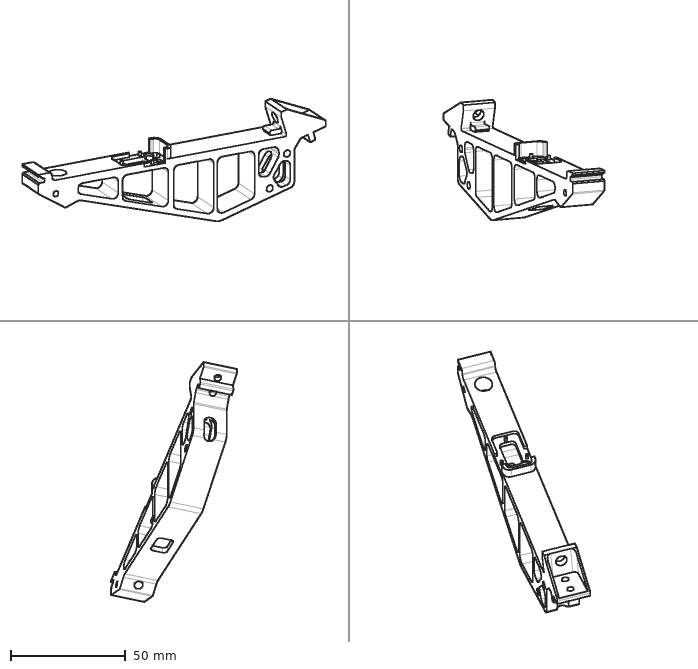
import cadquery as cq
LENGTH = 142.2
WIDTH = 15.0
TOP_Z = 12.5
THROUGH = 3 * WIDTH

BELLY_Y = 89.3
BELLY_Z = -33.91
BELLY_RADIUS = 5.7
FRONT_CHORD_SLOPE = 0.325
REAR_CHORD_SLOPE = 0.27
REAR_FACE_Y = 126.7
TOE_CREASE_Y = 20.2
TOE_TIP_Y = 13.4
END_FACE_BOTTOM_Z = -5.0

DECK_THICKNESS = 3.8
FRONT_CHORD_HEIGHT = 3.0
REAR_CHORD_HEIGHT = 3.3
WINDOW_RADIUS = 2.4
STRUT_WINDOW_RADIUS = 1.8
FRONT_WINDOW_SPANS = [(19.6, 39.5), (41.7, 64.3), (67.0, 86.7)]
REAR_WINDOW_FRONT_Y = 88.6
REAR_WINDOW_REAR_Y = 106.9

NOSE_TILT = 15.0
NOSE_FLOOR_Y = 126.3
NOSE_FLOOR_Z = 0.1
NOSE_HOLE_REACH = 5.4
NOSE_SIDE_WALL = 1.0
NOSE_POCKET_RADIUS = 2.0
NOSE_POCKET_SIZE = 28.5
NOSE_HOLE_DIAMETER = 3.0
NOSE_HOLE_PITCH = 7.7
FIRST_NOSE_HOLE = 3.7
WALL_HOLE_DIAMETER = 5.0
WALL_HOLE_HEIGHT = 7.5

TAB_WIDTH = 6.5
TAB_HEIGHT = 2.3
TAB_TIP_Y = 116.7
TAB_ROOT_Y = 122.5
TAB_ROOT_RADIUS = 0.9

STRUT_ANGLE = 60.0
STRUT_SLOT_Y = 118.7
STRUT_SLOT_Z = -15.5
STRUT_SLOT_LENGTH = 11.4
STRUT_SLOT_WIDTH = 5.4
STRUT_SLOT_START = 5.7

SEAT_FRONT_Y = 42.7
SEAT_REAR_Y = 65.8
SEAT_DEPTH = 1.7
SEAT_RADIUS = 2.0
SEAT_FRONT_WIDTH = 12.2
SEAT_REAR_WIDTH = 11.5
SEAT_WALL = 1.0
SEAT_WALL_RADIUS = 3.1
SEAT_WALL_HEIGHT = 4.8
LIP_RADIUS = 0.5
SIDE_OPENING_FRONT_Y = 52.5
SIDE_OPENING_REAR_Y = 62.7
PIN_DIAMETER = 1.3
PIN_ROOT = 0.1
PIN_CENTERS = [(0, 63.3), (0, 45.2), (5.8, 57.3), (-5.8, 57.3)]
SLOT_WIDTH = 7.3
SLOT_FRONT_Y = 46.5
SLOT_REAR_Y = 59.0
SLOT_RADIUS = 1.7
LOBE_DIAMETER = 4.3
LOBE_X = 4.0
LOBE_Y = 60.7
LOBE_BRIDGE_REAR_Y = 61.8
LOBE_DEPTH = 1.0

SCREW_Y = 13.5
SCREW_TILT = 15.0
SCREW_HEAD_DIAMETER = 7.5
SCREW_HEAD_DEPTH = 6.0
SCREW_HEAD_CLEARANCE = 5.4
SCREW_DIAMETER = 3.7
SCREW_REACH = 21.3

CROSS_HOLES = [(123.0, -8.1, 3.1), (114.5, -22.9, 3.1), (8.7, -6.4, 2.5)]


def front_chord(y):
    return BELLY_Z + FRONT_CHORD_SLOPE * (BELLY_Y - y)


def rear_chord(y):
    return BELLY_Z + REAR_CHORD_SLOPE * (y - BELLY_Y)


def prism(corners, width, default_radius=0):
    """Extrude (y, z[, radius]) corners evenly about X = 0 and round the corners that carry a radius."""
    solid = cq.Workplane("YZ").polyline([c[:2] for c in corners]).close().extrude(width / 2, both=True)
    for corner in corners:
        radius = corner[2] if len(corner) > 2 else default_radius
        if radius:
            edge = cq.selectors.NearestToPointSelector((0, corner[0], corner[1]))
            solid = solid.edges("|X").edges(edge).fillet(radius)
    return solid


def tilt_up(tool, angle, y, z):
    """Tilt a tool about X so its +Y side rises, then move its origin to (y, z)."""
    return tool.rotate((0, 0, 0), (1, 0, 0), angle).translate((0, y, z))


def block(x_size, y_start, y_end, z_start, z_end):
    return (
        cq.Workplane("XY")
        .box(x_size, y_end - y_start, z_end - z_start, centered=(True, False, False))
        .translate((0, y_start, z_start))
    )


def body():
    outline = [
        (0, END_FACE_BOTTOM_Z, 0.7), (0, -0.7), (0.5, 0), (3.1, 0, 0.7), (3.1, 1.7, 0.3), (2.4, 1.7),
        (0.9, 3.0), (0, 3.0), (0, 4.0), (6.8, 4.0, 1.7), (6.8, 0, 1.7),
        (122.7, 0, 0.9), (122.7, 1.0, 0.5), (120.1, 9.4), (120.1, 11.8), (123.0, TOP_Z),
        (LENGTH, 4.0, 0.7), (LENGTH, 1.1, 0.4),
        (136.0, -0.5), (137.0, -4.1, 0.5), (134.5, -5.0), (133.4, -1.1, 0.5),
        (129.8, -2.1, 2.0), (REAR_FACE_Y, -6.7, 1.1), (REAR_FACE_Y, rear_chord(REAR_FACE_Y), 2.8),
        (BELLY_Y, BELLY_Z, BELLY_RADIUS), (TOE_CREASE_Y, front_chord(TOE_CREASE_Y), 3.5),
        (TOE_TIP_Y, -13.8, 0.7),
    ]
    return prism(outline, WIDTH)


def cut_windows(part):
    ceiling = -DECK_THICKNESS
    for front_y, rear_y in FRONT_WINDOW_SPANS:
        window = [
            (front_y, ceiling),
            (rear_y, ceiling),
            (rear_y, front_chord(rear_y) + FRONT_CHORD_HEIGHT),
            (front_y, front_chord(front_y) + FRONT_CHORD_HEIGHT),
        ]
        part = part.cut(prism(window, THROUGH, WINDOW_RADIUS))
    rear_window = [
        (REAR_WINDOW_FRONT_Y, ceiling),
        (REAR_WINDOW_REAR_Y, ceiling),
        (REAR_WINDOW_REAR_Y, rear_chord(REAR_WINDOW_REAR_Y) + REAR_CHORD_HEIGHT),
        (REAR_WINDOW_FRONT_Y, rear_chord(REAR_WINDOW_FRONT_Y) + REAR_CHORD_HEIGHT),
    ]
    upper_window = [(109.0, ceiling), (119.0, ceiling, 3.1), (119.0, -8.4), (113.9, -16.9), (109.0, -16.9)]
    lower_window = [
        (124.5, -11.4, WINDOW_RADIUS), (120.3, -11.4), (115.9, -17.9), (119.6, -23.5),
        (124.5, -22.5, WINDOW_RADIUS),
    ]
    part = part.cut(prism(rear_window, THROUGH, WINDOW_RADIUS))
    part = part.cut(prism(upper_window, THROUGH, WINDOW_RADIUS))
    return part.cut(prism(lower_window, THROUGH, STRUT_WINDOW_RADIUS))


def cut_cross_holes(part):
    for y, z, diameter in CROSS_HOLES:
        part = part.cut(cq.Workplane("YZ").center(y, z).circle(diameter / 2).extrude(WIDTH, both=True))
    return part


def add_latch_tab(part):
    profile = [
        (TAB_ROOT_Y, 0), (TAB_ROOT_Y, TAB_HEIGHT), (TAB_TIP_Y, TAB_HEIGHT, 1.0),
        (TAB_TIP_Y, 0.9), (117.2, 0.3), (117.2, 0),
    ]
    part = part.union(prism(profile, TAB_WIDTH))
    root_edge = cq.selectors.NearestToPointSelector((0, 122.3, TAB_HEIGHT))
    return part.edges("|X").edges(root_edge).fillet(TAB_ROOT_RADIUS)


def cut_strut_slot(part):
    slot = (
        cq.Workplane("XY")
        .slot2D(STRUT_SLOT_LENGTH, STRUT_SLOT_WIDTH, 90)
        .extrude(-THROUGH)
        .translate((0, 0, STRUT_SLOT_START))
    )
    return part.cut(tilt_up(slot, STRUT_ANGLE, STRUT_SLOT_Y, STRUT_SLOT_Z))


def cut_nose(part):
    pocket = block(WIDTH - 2 * NOSE_SIDE_WALL, 0, NOSE_POCKET_SIZE, 0, NOSE_POCKET_SIZE)
    tools = pocket.edges("|Z and <Y").fillet(NOSE_POCKET_RADIUS)
    for y in [FIRST_NOSE_HOLE, FIRST_NOSE_HOLE + NOSE_HOLE_PITCH]:
        hole = cq.Workplane("XY").center(0, y).circle(NOSE_HOLE_DIAMETER / 2)
        tools = tools.union(hole.extrude(-NOSE_HOLE_REACH))
    wall_hole = cq.Workplane("XZ").center(0, WALL_HOLE_HEIGHT).circle(WALL_HOLE_DIAMETER / 2)
    tools = tools.union(wall_hole.extrude(WIDTH / 2).translate((0, 1.4, 0)))
    return part.cut(tilt_up(tools, NOSE_TILT, NOSE_FLOOR_Y, NOSE_FLOOR_Z))


def seat_recess():
    """Rounded recess that is open to both sides between its front lips and its rear wall."""
    front = block(SEAT_FRONT_WIDTH, SEAT_FRONT_Y, SIDE_OPENING_REAR_Y, -SEAT_DEPTH, TOP_Z)
    front = front.edges("|Z and <Y").fillet(SEAT_RADIUS)
    rear = block(SEAT_REAR_WIDTH, SIDE_OPENING_FRONT_Y, SEAT_REAR_Y, -SEAT_DEPTH, TOP_Z)
    rear = rear.edges("|Z and >Y").fillet(SEAT_RADIUS)
    opening = block(THROUGH, SIDE_OPENING_FRONT_Y, SIDE_OPENING_REAR_Y, -SEAT_DEPTH, TOP_Z)
    seat = front.union(rear).union(opening)
    for side in [-1, 1]:
        for y, width in [(SIDE_OPENING_FRONT_Y, SEAT_FRONT_WIDTH), (SIDE_OPENING_REAR_Y, SEAT_REAR_WIDTH)]:
            corner = cq.selectors.NearestToPointSelector((side * width / 2, y, TOP_Z / 2))
            seat = seat.edges("|Z").edges(corner).fillet(LIP_RADIUS)
    return seat


def add_seat(part):
    wall = block(WIDTH, SIDE_OPENING_REAR_Y, SEAT_REAR_Y + SEAT_WALL, 0, SEAT_WALL_HEIGHT)
    wall = wall.edges("|Z and >Y").fillet(SEAT_WALL_RADIUS)
    part = part.union(wall).cut(seat_recess())

    lobe_floor = SEAT_DEPTH + LOBE_DEPTH
    lobes = cq.Workplane("XY").pushPoints([(-LOBE_X, LOBE_Y), (LOBE_X, LOBE_Y)]).circle(LOBE_DIAMETER / 2)
    lobes = lobes.extrude(-lobe_floor)
    bridge = block(2 * LOBE_X, SLOT_REAR_Y - 0.1, LOBE_BRIDGE_REAR_Y, -lobe_floor, 0)
    slot = block(SLOT_WIDTH, SLOT_FRONT_Y, SLOT_REAR_Y, -THROUGH, 0).edges("|Z").fillet(SLOT_RADIUS)
    part = part.cut(lobes.union(bridge)).cut(slot)

    pins = cq.Workplane("XY").pushPoints(PIN_CENTERS).circle(PIN_DIAMETER / 2)
    return part.union(pins.extrude(-SEAT_DEPTH - PIN_ROOT))


def cut_screw_hole(part):
    head = cq.Workplane("XY").workplane(offset=-SCREW_HEAD_DEPTH).circle(SCREW_HEAD_DIAMETER / 2)
    head = head.extrude(SCREW_HEAD_DEPTH + SCREW_HEAD_CLEARANCE)
    shank = cq.Workplane("XY").circle(SCREW_DIAMETER / 2).extrude(-SCREW_REACH)
    return part.cut(tilt_up(head.union(shank), SCREW_TILT, SCREW_Y, 0))


part = cut_windows(body())
part = cut_cross_holes(part)
part = add_latch_tab(part)
part = cut_strut_slot(part)
part = cut_nose(part)
part = add_seat(part)
result = cut_screw_hole(part)